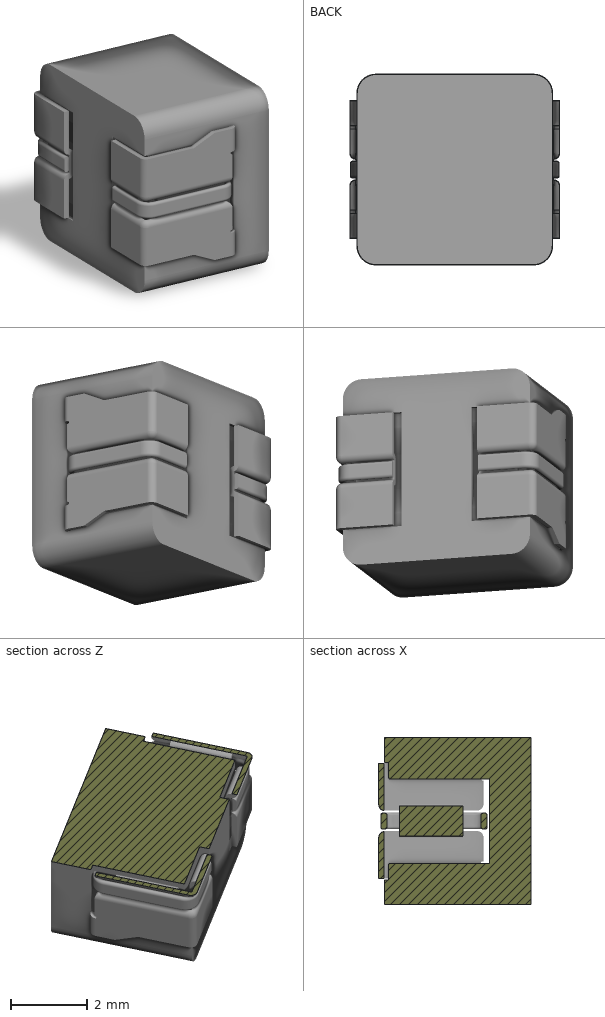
import cadquery as cq
import math

overall_width = 5.5
body_width = 5.125
body_depth = 3.85
body_height = 5.0
body_corner_radius = 0.5

recess_half_height = 1.535
recess_slope_top = 1.155
recess_slope_bottom = 0.46
recess_inner_x = 0.955
recess_front_depth = 0.11
recess_side_depth = 0.03
recess_extra_depth = 0.15

sheet = 0.15
inner_bend_radius = 0.035
outer_bend_radius = sheet + inner_bend_radius
terminal_back_y = 2.76
tab_inner_x = 1.155
anchor_inner_x = 2.2
plate_half_height = 1.51
wing_half_height = 1.805
wing_slope_start_y = 1.415
wing_slope_end_y = 2.05
anchor_bottom_z = 1.15
plate_back_y = 2.605
plate_corner_radius = 0.16
relief_width = 0.09
relief_tip_y = 2.54

lip_center_z = 0.435
lip_outer_radius = 0.165
lip_inner_radius = lip_outer_radius - sheet
lip_bottom_z = lip_center_z - lip_outer_radius
channel_floor_depth = 0.17
channel_corner_setback = 0.54
channel_back_y = 2.07

wire_half_height = 0.22
wire_thickness = 0.15
wire_half_width = 2.74
wire_inset = channel_floor_depth - wire_thickness
wire_front_y = wire_inset - sheet
wire_back_y = terminal_back_y - wire_inset
wire_bend_radius = 0.365
wire_edge_radius = 0.07
wire_inner_x = 1.175

half_width = overall_width / 2
body_half_width = body_width / 2


def box(x_min, x_max, y_min, y_max, z_min, z_max):
    size = (x_max - x_min, y_max - y_min, z_max - z_min)
    return cq.Workplane("XY").box(*size, centered=False).translate((x_min, y_min, z_min))


def both_sides(solid):
    return solid.union(solid.mirror("YZ"))


def rounded_block(half_x, y_min, y_max, z_min, z_max, radius):
    block = box(-half_x, half_x, y_min, y_max, z_min, z_max)
    return block.edges("|Z").fillet(radius)


def recess_section(shallow, plane):
    """Trench section: first coordinate is depth into the body, second is Z."""
    deep = shallow + recess_extra_depth
    points = [
        (0, -recess_half_height),
        (shallow, -recess_half_height),
        (shallow, -recess_slope_top),
        (deep, -recess_slope_bottom),
        (deep, recess_slope_bottom),
        (shallow, recess_slope_top),
        (shallow, recess_half_height),
        (0, recess_half_height),
    ]
    return cq.Workplane(plane).polyline(points).close()


def body():
    block = box(
        -body_half_width, body_half_width, 0, body_depth, -body_height / 2, body_height / 2
    ).edges("|Y").fillet(body_corner_radius)
    front = recess_section(recess_front_depth, "YZ").extrude(body_half_width - recess_inner_x)
    front = front.translate((-body_half_width, 0, 0))
    side = recess_section(recess_side_depth, "XZ").extrude(-terminal_back_y)
    side = side.translate((-body_half_width, 0, 0))
    return block.cut(both_sides(front.union(side)))


def plate_outline():
    """Side profile of the upper plate, as a prism across the full width."""
    outline = (
        cq.Workplane("YZ")
        .moveTo(-sheet, lip_bottom_z)
        .lineTo(-sheet, plate_half_height)
        .lineTo(wing_slope_start_y, plate_half_height)
        .lineTo(wing_slope_end_y, wing_half_height)
        .lineTo(terminal_back_y, wing_half_height)
        .lineTo(terminal_back_y, anchor_bottom_z)
        .lineTo(plate_back_y, anchor_bottom_z)
        .lineTo(plate_back_y, lip_bottom_z + plate_corner_radius)
        .radiusArc((plate_back_y - plate_corner_radius, lip_bottom_z), plate_corner_radius)
        .close()
        .extrude(half_width, both=True)
    )
    relief_radius = relief_width / 2
    relief_z = anchor_bottom_z - relief_radius
    relief_length = plate_back_y - relief_tip_y + relief_width
    relief = (
        cq.Workplane("YZ")
        .center(relief_tip_y + relief_length / 2, relief_z)
        .slot2D(relief_length, relief_width)
        .extrude(half_width, both=True)
    )
    return outline.cut(relief)


def upper_plates():
    """Plates above the wire on both sides, with a rounded lip along the bottom edge."""
    shell = rounded_block(
        half_width, -sheet, terminal_back_y, lip_bottom_z, wing_half_height, outer_bend_radius
    ).faces("<Z").edges().fillet(lip_outer_radius)
    hollow = rounded_block(
        half_width - sheet, 0, terminal_back_y - sheet, 0, wing_half_height, inner_bend_radius
    )
    front_gap = box(-tab_inner_x, tab_inner_x, -sheet, body_depth / 2, 0, wing_half_height)
    back_gap = box(
        -anchor_inner_x, anchor_inner_x, body_depth / 2, terminal_back_y, 0, wing_half_height
    )
    return shell.cut(hollow).cut(front_gap).cut(back_gap).intersect(plate_outline())


def channel_section(plane):
    """Upper half of the S-bent channel: depth from the plate's outer face, then Z."""
    bend_sum = lip_outer_radius + inner_bend_radius
    bend = math.acos(1 - channel_floor_depth / bend_sum)
    lip_center = (lip_outer_radius, lip_center_z)
    floor_center = (
        lip_center[0] - bend_sum * math.cos(bend),
        lip_center[1] - bend_sum * math.sin(bend),
    )

    def around(center, radius, angle):
        return (center[0] - radius * math.cos(angle), center[1] - radius * math.sin(angle))

    return (
        cq.Workplane(plane)
        .moveTo(0, lip_center_z)
        .threePointArc(
            around(lip_center, lip_outer_radius, bend / 2),
            around(lip_center, lip_outer_radius, bend),
        )
        .threePointArc(
            around(floor_center, inner_bend_radius, math.pi + bend / 2),
            around(floor_center, inner_bend_radius, math.pi),
        )
        .lineTo(channel_floor_depth, 0)
        .lineTo(channel_floor_depth + sheet, 0)
        .lineTo(*around(floor_center, outer_bend_radius, math.pi))
        .threePointArc(
            around(floor_center, outer_bend_radius, math.pi + bend / 2),
            around(floor_center, outer_bend_radius, math.pi + bend),
        )
        .threePointArc(
            around(lip_center, lip_inner_radius, bend / 2),
            around(lip_center, lip_inner_radius, 0),
        )
        .close()
    )


def upper_channels():
    channel_start_x = half_width - channel_corner_setback
    channel_start_y = channel_corner_setback - sheet
    front = channel_section("YZ").extrude(channel_start_x - tab_inner_x)
    front = front.translate((-channel_start_x, -sheet, 0))
    side = channel_section("XZ").extrude(channel_start_y - channel_back_y)
    side = side.translate((-half_width, channel_start_y, 0))
    return both_sides(front.union(side))


def terminals():
    upper = upper_plates().union(upper_channels())
    return upper.union(upper.mirror("XY"))


def wires():
    ring = rounded_block(
        wire_half_width, wire_front_y, wire_back_y, -wire_half_height, wire_half_height, wire_bend_radius
    )
    hollow = rounded_block(
        wire_half_width - wire_thickness,
        wire_front_y + wire_thickness,
        wire_back_y - wire_thickness,
        -wire_half_height,
        wire_half_height,
        wire_bend_radius - wire_thickness,
    )
    ring = ring.cut(hollow).faces("<Z or >Z").edges().fillet(wire_edge_radius)
    middle_y = body_depth / 2
    z_range = (-wire_half_height, wire_half_height)
    front_gap = box(-wire_inner_x, wire_inner_x, wire_front_y, middle_y, *z_range)
    back_gap = box(-anchor_inner_x, anchor_inner_x, middle_y, wire_back_y, *z_range)
    return ring.cut(front_gap).cut(back_gap)


result = body().union(terminals()).union(wires())